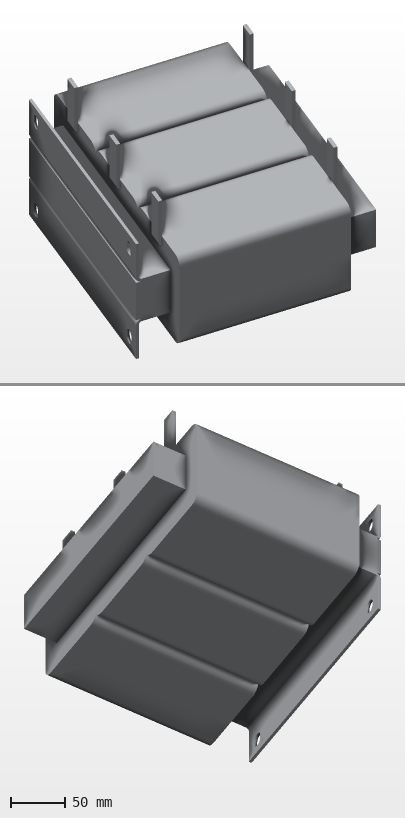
import cadquery as cq


core_width = 230.0
core_depth = 245.0
core_height = 45.0

coil_count = 3
coil_width = 90.0
coil_depth = 175.0
coil_height = 105.0
coil_corner_radius = 10.0

tab_width = 15.0
tab_thickness = 4.0
tab_top = 96.0
tab_bottom = coil_height / 2 - coil_corner_radius

sheet_thickness = 3.0
bend_inner_radius = 3.0
bend_outer_radius = bend_inner_radius + sheet_thickness
bracket_top = 69.0

slot_width = 10.0
slot_length = 15.0
slot_spacing = 200.0
slot_height = 53.0

core_front = -core_depth / 2
coil_front = -coil_depth / 2
core_top = core_height / 2
coil_centres = [(i - (coil_count - 1) / 2) * coil_width for i in range(coil_count)]


def make_core():
    return cq.Workplane("XY").box(core_width, core_depth, core_height)


def make_coil(x):
    block = cq.Workplane("XY").box(coil_width, coil_depth, coil_height)
    return block.edges("|Y").fillet(coil_corner_radius).translate((x, 0, 0))


def make_front_tab(x):
    """Upright tab on the front coil face, with a rounded heel at its lower outer edge."""
    tab_front = coil_front - tab_thickness
    profile = (
        cq.Workplane("YZ")
        .moveTo(coil_front, tab_bottom)
        .lineTo(coil_front, tab_top)
        .lineTo(tab_front, tab_top)
        .lineTo(tab_front, tab_bottom + tab_thickness)
        .radiusArc((coil_front, tab_bottom), -tab_thickness)
        .close()
    )
    return profile.extrude(tab_width / 2, both=True).translate((x, 0, 0))


def make_upper_bracket():
    """L-shaped bracket: a foot on the core, a bend, and a slotted upright flange."""
    bend_y = core_front + bend_outer_radius
    bend_z = core_top + bend_outer_radius
    inner_y = core_front + sheet_thickness
    foot_top = core_top + sheet_thickness

    profile = (
        cq.Workplane("YZ")
        .moveTo(coil_front, core_top)
        .lineTo(bend_y, core_top)
        .radiusArc((core_front, bend_z), bend_outer_radius)
        .lineTo(core_front, bracket_top)
        .lineTo(inner_y, bracket_top)
        .lineTo(inner_y, bend_z)
        .radiusArc((bend_y, foot_top), -bend_inner_radius)
        .lineTo(coil_front, foot_top)
        .close()
    )
    bracket = profile.extrude(core_width / 2, both=True)
    slots = (
        cq.Workplane("XZ", origin=(0, inner_y, 0))
        .pushPoints([(-slot_spacing / 2, slot_height), (slot_spacing / 2, slot_height)])
        .slot2D(slot_length, slot_width, 90)
        .extrude(sheet_thickness)
    )
    return bracket.cut(slots)


result = make_core()

for coil_x in coil_centres:
    front_tab = make_front_tab(coil_x)
    result = result.union(make_coil(coil_x))
    result = result.union(front_tab).union(front_tab.mirror("XZ"))

upper_bracket = make_upper_bracket()
result = result.union(upper_bracket).union(upper_bracket.mirror("XY"))